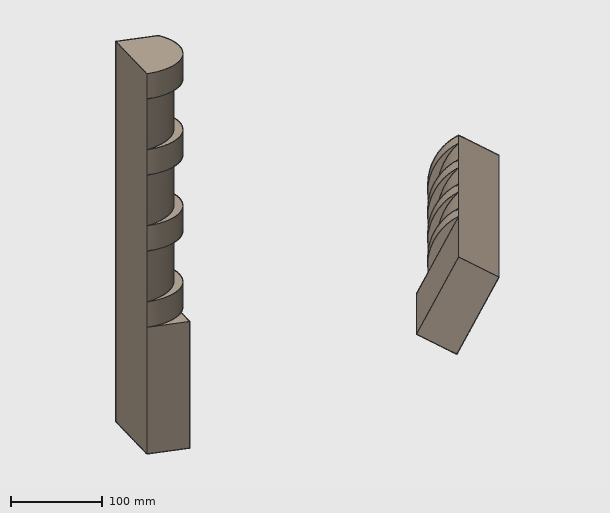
import cadquery as cq
import math

width = 100.0
height = 450.0
block_depth = 50.0
finger_crown_depth = 61.0
web_crown_depth = 54.0
finger_height = height / 15
finger_pitch = 3 * finger_height
finger_count = 4

upper_height = (finger_count - 1) * finger_pitch + finger_height
fingers_bottom = height - upper_height


def crown_position(crown_depth):
    """X of the highest point of the arc from the left back edge to the right front edge."""
    half_chord = math.hypot(width, block_depth) / 2
    chord_x = width / (2 * half_chord)
    chord_y = block_depth / (2 * half_chord)
    rise = crown_depth - block_depth / 2
    quad_a = 1 - chord_x**2
    quad_b = rise * chord_x
    quad_c = half_chord**2 - rise**2
    centre_offset = (quad_b - math.sqrt(quad_b**2 - quad_a * quad_c)) / quad_a
    return width / 2 - centre_offset * chord_y


def crowned_prism(crown_depth, bottom, length):
    """Upright prism with a flat front and an arched back."""
    return (
        cq.Workplane("XY", origin=(0, 0, bottom))
        .lineTo(width, 0)
        .threePointArc((crown_position(crown_depth), crown_depth), (0, block_depth))
        .close()
        .extrude(length)
    )


result = cq.Workplane("XY").box(width, block_depth, fingers_bottom, centered=False)

result = result.union(crowned_prism(web_crown_depth, fingers_bottom, upper_height))

for index in range(finger_count):
    finger_bottom = fingers_bottom + index * finger_pitch
    result = result.union(crowned_prism(finger_crown_depth, finger_bottom, finger_height))